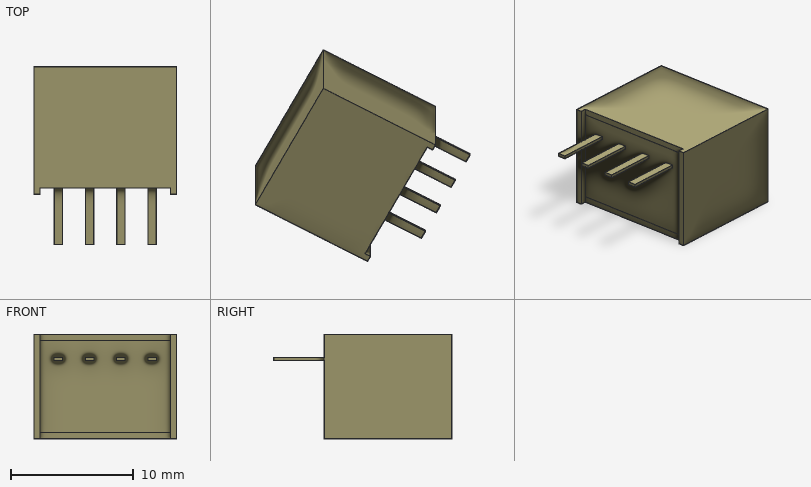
import cadquery as cq

width = 11.6
housing_depth = 10.4
height = 8.5
wall = 0.5
notch_depth = 0.5

pin_count = 4
pin_pitch = 2.54
pin_width = 0.7
pin_thickness = 0.25
pin_reach = 4.1
pin_height = 6.5

inner_width = width - 2 * wall
inner_height = height - 2 * wall
cavity_depth = housing_depth - wall


def box_between(size_x, size_z, front, back, center_x=0, center_z=height / 2):
    """Box centred on X and Z that runs from Y = front to Y = back."""
    box = cq.Workplane("XY").box(size_x, back - front, size_z)
    return box.translate((center_x, (front + back) / 2, center_z))


def make_housing():
    shell = box_between(width, height, 0, housing_depth)
    cavity = box_between(inner_width, inner_height, 0, cavity_depth)
    notch = box_between(inner_width, height, 0, notch_depth)
    return shell.cut(cavity).cut(notch)


def make_fill():
    """Block filling the cavity, flush with the cut-back top and bottom walls."""
    return box_between(inner_width, inner_height, notch_depth, cavity_depth)


def make_pin(center_x):
    return box_between(pin_width, pin_thickness, -pin_reach, notch_depth, center_x, pin_height)


housing = make_housing()
fill = make_fill()

first_pin_x = -pin_pitch * (pin_count - 1) / 2
pins = []
for index in range(pin_count):
    pins.append(make_pin(first_pin_x + index * pin_pitch))

result = cq.Compound.makeCompound([housing.val(), fill.val(), *[pin.val() for pin in pins]])